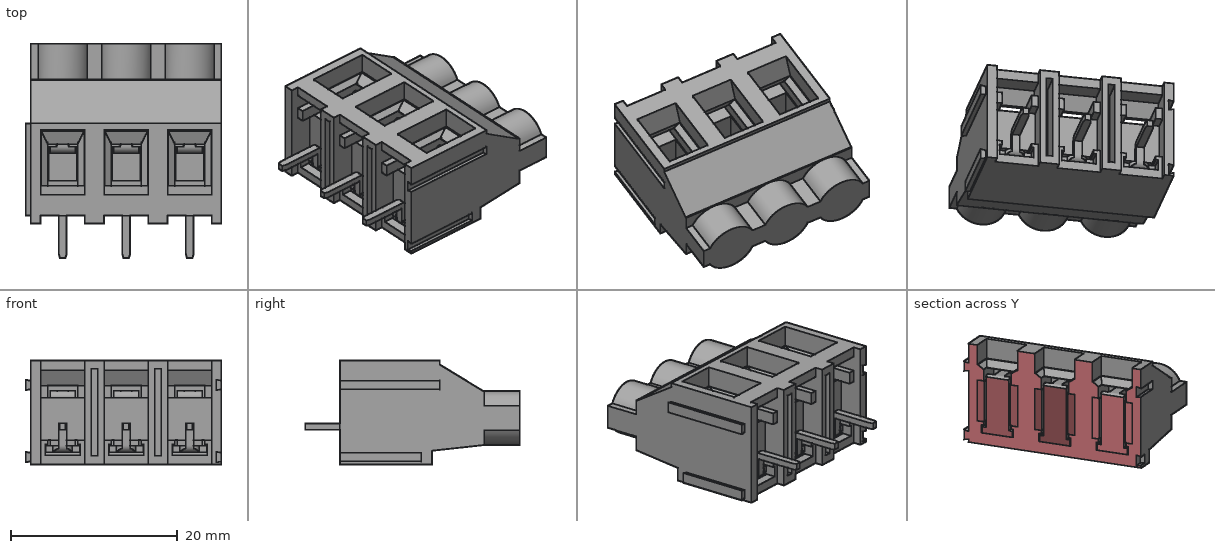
import cadquery as cq


pole_count = 3
pole_pitch = 7.6
first_pole_x = 3.83
pole_xs = [first_pole_x + i * pole_pitch for i in range(pole_count)]

housing_width = 22.85
housing_height = 12.5
housing_depth = 21.55
top_back_y = 12.0
top_lip_height = 0.51
base_back_y = 11.08
base_lip_height = 1.65
barrel_front_y = 17.3
slope_foot_length = 0.13

barrel_diameter = 6.5
barrel_z = 5.58
barrel_top_z = barrel_z + barrel_diameter / 2
barrel_bottom_z = barrel_z - barrel_diameter / 2
web_thickness = 2.88

cell_width = 5.27
recess_depth = 0.98
chamber_bottom_z = 2.93
chamber_top_z = 8.02
window_width = 3.6
window_top_z = 9.45
throat_back_y = 9.53
pocket_top_z = 11.28
pocket_back_y = 4.15
pocket_slope_run = 0.93

entry_front_y = 3.47
entry_back_y = 11.25
entry_bottom_z = 10.02
funnel_front_y = 4.52
funnel_bottom_z = 9.5
funnel_back_ledge = 0.18
funnel_side_ledge = 0.08

divider_slot_width = 0.8
divider_slot_bottom_z = 1.03
divider_slot_top_z = 11.5
divider_slot_depth = 2.83

dovetail_depth = 0.62
dovetail_height = 1.28
dovetail_taper = 0.13
dovetail_front_y = 0.98
dovetails = [(9.53, top_back_y), (0.9, 9.75)]

overall_length = 25.7
strip_thickness = 0.77
pin_width = 0.95
pin_tip_y = housing_depth - overall_length
pin_top_z = 4.93
pin_tip_width = 0.67
pin_tip_length = 0.5
leg_front_y = 1.41
base_width = 4.05
base_bottom_z = 1.5
base_top_z = base_bottom_z + strip_thickness
base_front_y = leg_front_y + strip_thickness
base_fillet = 0.7
contact_width = 3.03
contact_back_y = 9.23
contact_top_z = 8.85
contact_front_y = contact_back_y - strip_thickness
tab_width = 1.28
tab_fillet = 0.25

base_slot_width = 4.2
base_slot_top_z = 2.45
base_slot_mouth_z = 1.1
base_slot_ramp_run = 0.67

cage_front_y = 2.83
cage_hole_front_y = 5.11
cage_hole_width = 3.4
cage_wall = cage_hole_front_y - cage_front_y
cage_back_y = contact_back_y + cage_wall


def block(x_range, y_range, z_range):
    """Axis-aligned box between three pairs of limits."""
    size = [high - low for low, high in (x_range, y_range, z_range)]
    return cq.Workplane("XY").box(*size, centered=False).translate((x_range[0], y_range[0], z_range[0]))


def centred_block(width, y_range, z_range):
    """Box that is symmetric about X = 0."""
    return block((-width / 2, width / 2), y_range, z_range)


def centred_prism(side_profile, width):
    """Extrude a closed YZ profile to a width that is symmetric about X = 0."""
    return side_profile.extrude(width / 2, both=True)


def make_shell():
    """Stepped housing body with sloping shoulders."""
    side_profile = [
        (0, 0),
        (base_back_y, 0),
        (base_back_y, base_lip_height),
        (barrel_front_y, barrel_bottom_z),
        (barrel_front_y, barrel_top_z),
        (barrel_front_y - slope_foot_length, barrel_top_z),
        (top_back_y, housing_height - top_lip_height),
        (top_back_y, housing_height),
        (0, housing_height),
    ]
    return cq.Workplane("YZ").polyline(side_profile).close().extrude(housing_width)


def make_barrels():
    """Round screw barrels at the back, joined by a flat bar."""
    barrels = block(
        (0, housing_width),
        (barrel_front_y, housing_depth),
        (barrel_z - web_thickness / 2, barrel_z + web_thickness / 2),
    )
    for x in pole_xs:
        barrel = (
            cq.Workplane("XZ", origin=(x, barrel_front_y, barrel_z))
            .circle(barrel_diameter / 2)
            .extrude(barrel_front_y - housing_depth)
        )
        barrels = barrels.union(barrel)
    return barrels


def make_funnel():
    """Wire entry: a straight-sided well above a four-sided funnel."""
    well_profile = [
        (entry_front_y, housing_height),
        (funnel_front_y, entry_bottom_z),
        (entry_back_y, entry_bottom_z),
        (entry_back_y, housing_height),
    ]
    well = centred_prism(cq.Workplane("YZ").polyline(well_profile).close(), cell_width)

    mouth_width = cell_width - 2 * funnel_side_ledge
    mouth_length = entry_back_y - funnel_back_ledge - funnel_front_y
    throat_length = throat_back_y - funnel_front_y
    funnel = (
        cq.Workplane("XY", origin=(0, funnel_front_y, entry_bottom_z))
        .center(0, mouth_length / 2)
        .rect(mouth_width, mouth_length)
        .workplane(offset=funnel_bottom_z - entry_bottom_z)
        .center(0, (throat_length - mouth_length) / 2)
        .rect(window_width, throat_length)
        .loft(ruled=True)
    )
    throat = centred_block(window_width, (funnel_front_y, throat_back_y), (window_top_z, funnel_bottom_z))
    return well.union(funnel).union(throat)


def make_base_slot():
    """Slot for the terminal base, with a low floor at its mouth that ramps up under the base."""
    profile = [
        (recess_depth, base_slot_mouth_z),
        (base_front_y, base_slot_mouth_z),
        (base_front_y + base_slot_ramp_run, base_bottom_z),
        (contact_back_y, base_bottom_z),
        (contact_back_y, base_slot_top_z),
        (recess_depth, base_slot_top_z),
    ]
    return centred_prism(cq.Workplane("YZ").polyline(profile).close(), base_slot_width)


def make_pole_cavity():
    """Everything removed from the housing for one pole, centred on X = 0."""
    recess = centred_block(cell_width, (0, recess_depth), (0, housing_height))
    chamber = centred_block(cell_width, (recess_depth, cage_back_y), (chamber_bottom_z, chamber_top_z))
    upper_window = centred_block(window_width, (recess_depth, cage_back_y), (chamber_top_z, window_top_z))
    lower_window = centred_block(
        window_width, (recess_depth, contact_back_y), (base_slot_top_z, chamber_bottom_z)
    )
    pocket_profile = [
        (recess_depth, window_top_z),
        (recess_depth, pocket_top_z),
        (pocket_back_y - pocket_slope_run, pocket_top_z),
        (pocket_back_y, window_top_z),
    ]
    pocket = centred_prism(cq.Workplane("YZ").polyline(pocket_profile).close(), cell_width)
    cavity = recess
    for space in (chamber, upper_window, lower_window, pocket, make_funnel(), make_base_slot()):
        cavity = cavity.union(space)
    return cavity


def make_divider_slot(x):
    """Upright slot in the front of a divider wall."""
    return block(
        (x - divider_slot_width / 2, x + divider_slot_width / 2),
        (0, divider_slot_depth),
        (divider_slot_bottom_z, divider_slot_top_z),
    )


def make_dovetail(wall_x, middle_z, front_y, back_y):
    """Dovetail bar along Y that widens from a side face towards -X."""
    wide = dovetail_height / 2
    narrow = wide - dovetail_taper
    return (
        cq.Workplane("XZ", origin=(wall_x, front_y, middle_z))
        .moveTo(0, -narrow)
        .lineTo(-dovetail_depth, -wide)
        .lineTo(-dovetail_depth, wide)
        .lineTo(0, narrow)
        .close()
        .extrude(front_y - back_y)
    )


def make_housing():
    housing = make_shell().union(make_barrels())
    cavity = make_pole_cavity()
    for x in pole_xs:
        housing = housing.cut(cavity.translate((x, 0, 0)))
    for x in pole_xs[1:]:
        housing = housing.cut(make_divider_slot(x - pole_pitch / 2))
    for middle_z, back_y in dovetails:
        housing = housing.union(make_dovetail(0, middle_z, dovetail_front_y, back_y))
        housing = housing.cut(make_dovetail(housing_width, middle_z, 0, back_y))
    return housing


def make_pin():
    """Solder pin with a tapered tip, bent down into an upright leg."""
    bend = strip_thickness
    profile = (
        cq.Workplane("YZ")
        .moveTo(pin_tip_y, pin_top_z)
        .lineTo(leg_front_y, pin_top_z)
        .radiusArc((leg_front_y + bend, pin_top_z - bend), bend)
        .lineTo(leg_front_y + bend, base_top_z)
        .lineTo(leg_front_y, base_top_z)
        .lineTo(leg_front_y, pin_top_z - strip_thickness)
        .lineTo(pin_tip_y, pin_top_z - strip_thickness)
        .close()
    )
    tip_chamfer_width = (pin_width - pin_tip_width) / 2
    outline = (
        cq.Workplane("XY", origin=(0, 0, base_top_z))
        .moveTo(-pin_tip_width / 2, pin_tip_y)
        .line(-tip_chamfer_width, pin_tip_length)
        .lineTo(-pin_width / 2, base_front_y)
        .lineTo(pin_width / 2, base_front_y)
        .lineTo(pin_width / 2, pin_tip_y + pin_tip_length)
        .line(-tip_chamfer_width, -pin_tip_length)
        .close()
        .extrude(pin_top_z - base_top_z)
    )
    return centred_prism(profile, pin_width).intersect(outline)


def make_root():
    """Lower bend of the pin, flaring with a fillet on each side into the base."""
    bend = (
        cq.Workplane("YZ")
        .moveTo(leg_front_y, base_top_z)
        .radiusArc((base_front_y, base_bottom_z), -strip_thickness)
        .lineTo(base_front_y, base_top_z)
        .close()
    )
    half_pin = pin_width / 2
    half_root = half_pin + base_fillet
    outline = (
        cq.Workplane("XY", origin=(0, 0, base_bottom_z))
        .moveTo(-half_pin, leg_front_y)
        .lineTo(half_pin, leg_front_y)
        .lineTo(half_pin, base_front_y - base_fillet)
        .radiusArc((half_root, base_front_y), -base_fillet)
        .lineTo(-half_root, base_front_y)
        .radiusArc((-half_pin, base_front_y - base_fillet), -base_fillet)
        .close()
        .extrude(strip_thickness)
    )
    return centred_prism(bend, 2 * half_root).intersect(outline)


def make_contact():
    """Upright contact strip, rounded over at the top into a narrow tab."""
    bend_start_z = contact_top_z - strip_thickness
    profile = (
        cq.Workplane("YZ")
        .moveTo(contact_front_y, base_top_z)
        .lineTo(contact_front_y, bend_start_z)
        .radiusArc((contact_back_y, contact_top_z), strip_thickness)
        .lineTo(contact_back_y, base_top_z)
        .close()
    )
    half_tab = tab_width / 2
    tab = (
        cq.Workplane("XY", origin=(0, 0, bend_start_z))
        .moveTo(-half_tab - tab_fillet, contact_back_y)
        .radiusArc((-half_tab, contact_back_y + tab_fillet), -tab_fillet)
        .lineTo(-half_tab, cage_back_y)
        .lineTo(half_tab, cage_back_y)
        .lineTo(half_tab, contact_back_y + tab_fillet)
        .radiusArc((half_tab + tab_fillet, contact_back_y), -tab_fillet)
        .close()
        .extrude(strip_thickness)
    )
    return centred_prism(profile, contact_width).union(tab)


def make_terminal(x):
    """Solder pin, base and contact strip in one piece."""
    base = centred_block(base_width, (base_front_y, contact_back_y), (base_bottom_z, base_top_z))
    terminal = base.union(make_pin()).union(make_root()).union(make_contact())
    return terminal.translate((x, 0, 0))


def make_cage(x):
    """Clamp cage with an upright hole for the wire and the contact strip."""
    cage = centred_block(cell_width, (cage_front_y, cage_back_y), (chamber_bottom_z, chamber_top_z))
    hole = centred_block(
        cage_hole_width, (cage_hole_front_y, contact_back_y), (chamber_bottom_z, chamber_top_z)
    )
    return cage.cut(hole).translate((x, 0, 0))


housing = make_housing()
terminals = [make_terminal(x) for x in pole_xs]
cages = [make_cage(x) for x in pole_xs]

result = cq.Compound.makeCompound([body.val() for body in [housing, *terminals, *cages]])